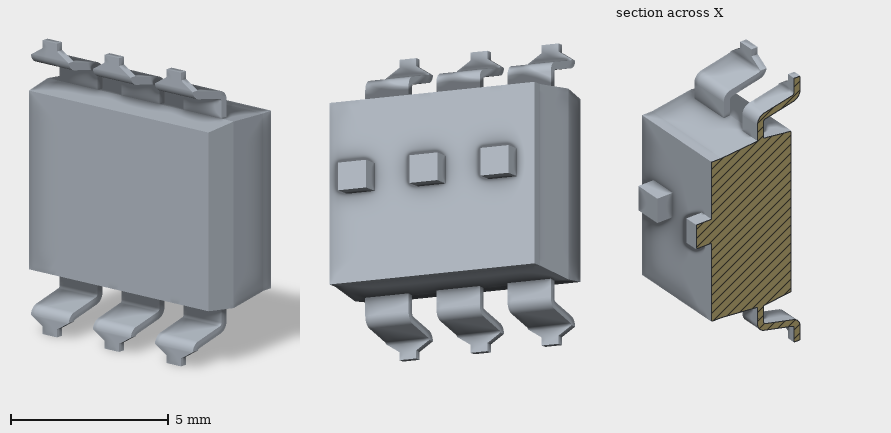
import cadquery as cq
import math


body_width = 7.62
body_height = 6.20
front_depth = 1.11
back_taper_depth = 1.68
back_slab_depth = 0.40
front_inset = 0.13
back_inset = 0.15

lead_pitch = 2.54
lead_columns = (-1, 0, 1)
lead_width = 1.55
lead_thickness = 0.25
lead_span = 9.76
lead_front = 1.46
lead_slope = 12.5
stem_end = 3.68
bend_inner_radius = 0.10
stem_embed = 0.6
neck_width = 0.6
neck_length = 0.26
shoulder_length = 0.30

peg_width = 1.0
peg_height = 0.9
peg_length = 0.61
peg_center_z = 0.39

back_face = back_taper_depth + back_slab_depth


def tapered_half(depth, inset, direction):
    """Frustum from the parting plane towards direction * Y."""
    return (
        cq.Workplane("XZ")
        .rect(body_width, body_height)
        .workplane(offset=-direction * depth)
        .rect(body_width - 2 * inset, body_height - 2 * inset)
        .loft(ruled=True, combine=True)
    )


def make_body():
    front = tapered_half(front_depth, front_inset, -1)
    back = tapered_half(back_taper_depth, back_inset, 1)
    slab = (
        cq.Workplane("XZ", origin=(0, back_taper_depth, 0))
        .rect(body_width - 2 * back_inset, body_height - 2 * back_inset)
        .extrude(-back_slab_depth)
    )
    return front.union(back).union(slab)


def make_lead():
    """Upper lead centred on X = 0: a strip bent twice, then trimmed to a shouldered tip."""
    mid_radius = bend_inner_radius + lead_thickness / 2
    turn = math.radians(90 - lead_slope)
    bend_y = mid_radius * (1 - math.cos(turn))
    bend_z = mid_radius * math.sin(turn)

    stem_y = lead_thickness / 2
    tip_y = lead_thickness / 2 - lead_front
    tip_z = lead_span / 2
    stem_start = body_height / 2 - stem_embed
    run_start = (stem_y - bend_y, stem_end + bend_z)
    run_end_y = tip_y + bend_y
    run_rise = (run_start[0] - run_end_y) * math.tan(math.radians(lead_slope))
    run_end = (run_end_y, run_start[1] + run_rise)
    tip_start = (tip_y, run_end[1] + bend_z)

    center_line = (
        cq.Workplane("YZ")
        .moveTo(stem_y, stem_start)
        .lineTo(stem_y, stem_end)
        .tangentArcPoint(run_start, relative=False)
        .lineTo(*run_end)
        .tangentArcPoint(tip_start, relative=False)
        .lineTo(tip_y, tip_z)
    )
    strip = (
        cq.Workplane("XY", origin=(0, stem_y, stem_start))
        .rect(lead_width, lead_thickness)
        .sweep(center_line)
    )

    neck_z = tip_z - neck_length
    shoulder_z = neck_z - shoulder_length
    outline = (
        cq.Workplane("XZ", origin=(0, lead_thickness, 0))
        .polyline([
            (-lead_width / 2, stem_start),
            (lead_width / 2, stem_start),
            (lead_width / 2, shoulder_z),
            (neck_width / 2, neck_z),
            (neck_width / 2, tip_z),
            (-neck_width / 2, tip_z),
            (-neck_width / 2, neck_z),
            (-lead_width / 2, shoulder_z),
        ])
        .close()
        .extrude(lead_thickness + lead_front)
    )
    return strip.intersect(outline)


def make_peg():
    return (
        cq.Workplane("XZ", origin=(0, back_face, peg_center_z))
        .rect(peg_width, peg_height)
        .extrude(-peg_length)
    )


upper_lead = make_lead()
lower_lead = upper_lead.mirror("XY")
peg = make_peg()

result = make_body()
for column in lead_columns:
    shift = (column * lead_pitch, 0, 0)
    for feature in (upper_lead, lower_lead, peg):
        result = result.union(feature.translate(shift))